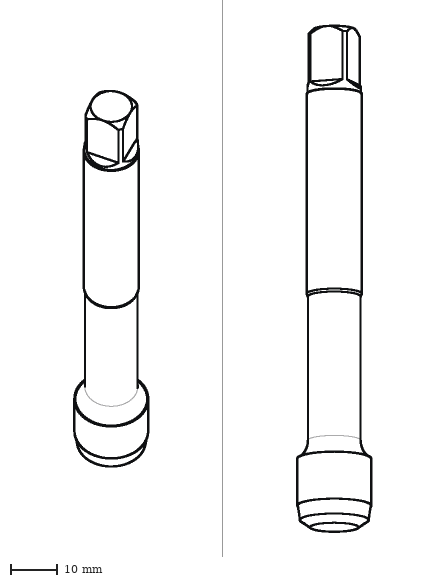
import cadquery as cq

total_length = 110.0
square_length = 12.0
collar_length = 2.1
shank_bottom = 51.6
neck_taper_length = 0.6
neck_bottom = 19.2
head_height = 15.2
lead_height = 4.8
lead_end_height = 1.6

shank_diameter = 12.0
collar_diameter = 11.7
neck_diameter = 11.5
flare_diameter = 15.6

square_size = 9.0
square_sides = 4

head_diameter = 16.08
lead_start_diameter = 15.9
lead_end_diameter = 15.0
tip_diameter = 10.5

square_bottom = total_length - square_length
shank_top = square_bottom - collar_length


def make_square_side_cut():
    """Cutter for one side of the square, with a floor that slopes down outwards at 45 degrees."""
    flat = square_size / 2
    reach = shank_diameter / 2
    return (
        cq.Workplane("XZ")
        .moveTo(flat, total_length)
        .lineTo(flat, square_bottom)
        .lineTo(flat + reach, square_bottom - reach)
        .lineTo(flat + reach, total_length)
        .close()
        .extrude(shank_diameter / 2, both=True)
    )


def make_turned_shank():
    """Round shank: flare, neck, main diameter, collar and 45 degree cone at the top."""
    shank_radius = shank_diameter / 2
    collar_radius = collar_diameter / 2
    neck_radius = neck_diameter / 2
    flare_radius = flare_diameter / 2
    top_radius = square_size / 2

    collar_chamfer = shank_radius - collar_radius
    top_chamfer = collar_radius - top_radius

    flare_spread = flare_radius - neck_radius
    flare_drop = neck_bottom - head_height
    flare_arc_radius = (flare_spread**2 + flare_drop**2) / (2 * flare_spread)

    return (
        cq.Workplane("XZ")
        .moveTo(0, head_height)
        .lineTo(flare_radius, head_height)
        .radiusArc((neck_radius, neck_bottom), flare_arc_radius)
        .lineTo(neck_radius, shank_bottom - neck_taper_length)
        .lineTo(shank_radius, shank_bottom)
        .lineTo(shank_radius, shank_top - collar_chamfer)
        .lineTo(collar_radius, shank_top)
        .lineTo(collar_radius, total_length - top_chamfer)
        .lineTo(top_radius, total_length)
        .lineTo(0, total_length)
        .close()
        .revolve(360, (0, 0, 0), (0, 1, 0))
    )


def make_shank():
    """Turned shank with the square cut into its upper end."""
    shank = make_turned_shank()
    side_cut = make_square_side_cut()
    for side in range(square_sides):
        angle = side * 360 / square_sides
        shank = shank.cut(side_cut.rotate((0, 0, 0), (0, 0, 1), angle))
    return shank


def make_head():
    """Cylindrical head with a slightly stepped, tapered lead and a conical tip."""
    head_radius = head_diameter / 2
    return (
        cq.Workplane("XZ")
        .lineTo(tip_diameter / 2, 0)
        .lineTo(lead_end_diameter / 2, lead_end_height)
        .lineTo(lead_start_diameter / 2, lead_height)
        .lineTo(head_radius, lead_height)
        .lineTo(head_radius, head_height)
        .lineTo(0, head_height)
        .close()
        .revolve(360, (0, 0, 0), (0, 1, 0))
    )


shank = make_shank()
head = make_head()

result = cq.Compound.makeCompound([shank.solids().val(), head.val()])